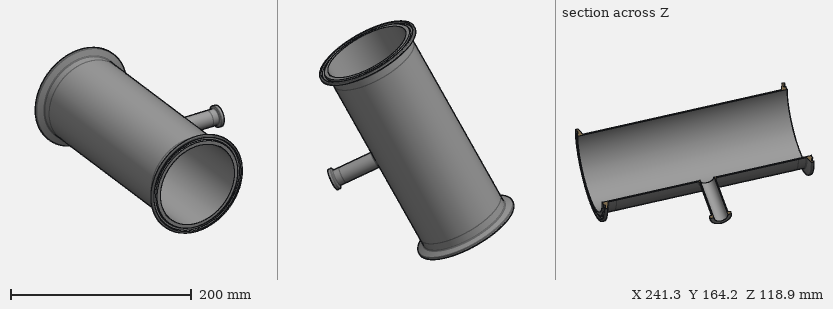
import cadquery as cq
import math

RUN_LENGTH = 241.3
RUN_OUTER_DIA = 101.6
RUN_BORE_DIA = 97.38

BRANCH_REACH = 104.78
BRANCH_OUTER_DIA = 19.05
BRANCH_BORE_DIA = 15.75
WELD_FOOT_DIA = 21.89
WELD_FILLET = (WELD_FOOT_DIA - BRANCH_OUTER_DIA) / 2

CLAMP_ANGLE = 20.0
RUN_FLANGE_DIA = 118.92
RUN_FERRULE_LENGTH = 15.875
RUN_RIM_WIDTH = 3.2
RUN_RIM_ROUND = 0.7
RUN_NECK_ROUND = 1.0
BRANCH_FLANGE_DIA = 24.99
BRANCH_FERRULE_LENGTH = 12.7
BRANCH_RIM_WIDTH = 3.95
BRANCH_RIM_ROUND = 0.5
BRANCH_NECK_ROUND = 0.4

GROOVE_MEAN_DIA = 110.2
GROOVE_MOUTH_WIDTH = 4.0
GROOVE_FLOOR_WIDTH = 2.4
GROOVE_DEPTH = 1.6

SELECT_MARGIN = 0.05


def edges_within(half_x, half_y, z_min, z_max):
    """Selector for edges lying wholly inside a box centred on the Z axis."""
    return cq.selectors.BoxSelector(
        (-half_x - SELECT_MARGIN, -half_y - SELECT_MARGIN, z_min - SELECT_MARGIN),
        (half_x + SELECT_MARGIN, half_y + SELECT_MARGIN, z_max + SELECT_MARGIN),
        boundingbox=True,
    )


def ferrule(flange_dia, tube_dia, length, rim_width, rim_round, neck_round):
    """Solid ferrule with its face on the XY plane and its neck along +Z."""
    flange_radius = flange_dia / 2
    tube_radius = tube_dia / 2
    cone_depth = (flange_radius - tube_radius) * math.tan(math.radians(CLAMP_ANGLE))
    neck_start = rim_width + cone_depth
    body = (
        cq.Workplane("XZ")
        .moveTo(0, 0)
        .lineTo(flange_radius, 0)
        .lineTo(flange_radius, rim_width)
        .lineTo(tube_radius, neck_start)
        .lineTo(tube_radius, length)
        .lineTo(0, length)
        .close()
        .revolve(360, (0, 0, 0), (0, 1, 0))
    )
    neck_edge = edges_within(flange_radius, flange_radius, neck_start, neck_start)
    rim_edges = edges_within(flange_radius, flange_radius, 0, rim_width)
    return body.edges(neck_edge).fillet(neck_round).edges(rim_edges).fillet(rim_round)


def gasket_groove():
    """Tapered ring that cuts the gasket groove into a face on the XY plane."""
    mean_radius = GROOVE_MEAN_DIA / 2
    half_mouth = GROOVE_MOUTH_WIDTH / 2
    half_floor = GROOVE_FLOOR_WIDTH / 2
    return (
        cq.Workplane("XZ")
        .moveTo(mean_radius - half_mouth, 0)
        .lineTo(mean_radius + half_mouth, 0)
        .lineTo(mean_radius + half_floor, GROOVE_DEPTH)
        .lineTo(mean_radius - half_floor, GROOVE_DEPTH)
        .close()
        .revolve(360, (0, 0, 0), (0, 1, 0))
    )


def main_ferrule():
    blank = ferrule(
        RUN_FLANGE_DIA,
        RUN_OUTER_DIA,
        RUN_FERRULE_LENGTH,
        RUN_RIM_WIDTH,
        RUN_RIM_ROUND,
        RUN_NECK_ROUND,
    )
    return blank.cut(gasket_groove())


def branch_ferrule():
    blank = ferrule(
        BRANCH_FLANGE_DIA,
        BRANCH_OUTER_DIA,
        BRANCH_FERRULE_LENGTH,
        BRANCH_RIM_WIDTH,
        BRANCH_RIM_ROUND,
        BRANCH_NECK_ROUND,
    )
    return blank.rotate((0, 0, 0), (1, 0, 0), 90).translate((0, BRANCH_REACH, 0))


def welded_tubes():
    """Solid main tube and branch tube, rounded where they meet."""
    run_length = RUN_LENGTH - 2 * RUN_FERRULE_LENGTH
    run_radius = RUN_OUTER_DIA / 2
    branch_length = BRANCH_REACH - BRANCH_FERRULE_LENGTH
    branch_radius = BRANCH_OUTER_DIA / 2
    run = cq.Workplane("YZ").circle(run_radius).extrude(run_length / 2, both=True)
    branch = cq.Workplane("XZ").circle(branch_radius).extrude(-branch_length)
    junction = edges_within(branch_radius, run_radius, -branch_radius, branch_radius)
    return run.union(branch).edges(junction).fillet(WELD_FILLET)


def bores():
    run_bore = cq.Workplane("YZ").circle(RUN_BORE_DIA / 2).extrude(RUN_LENGTH / 2, both=True)
    branch_bore = cq.Workplane("XZ").circle(BRANCH_BORE_DIA / 2).extrude(-BRANCH_REACH)
    return run_bore.union(branch_bore)


left_ferrule = main_ferrule().rotate((0, 0, 0), (0, 1, 0), 90)
left_ferrule = left_ferrule.translate((-RUN_LENGTH / 2, 0, 0))
right_ferrule = left_ferrule.mirror("YZ")

result = welded_tubes().union(left_ferrule).union(right_ferrule).union(branch_ferrule())
result = result.cut(bores())